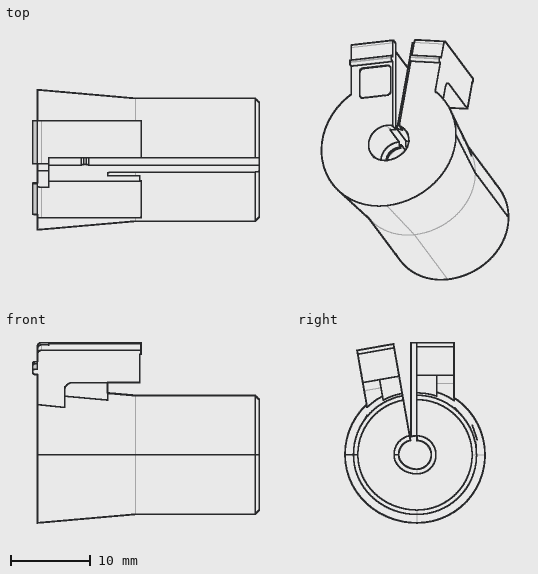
import cadquery as cq

body_length = 27.8
front_radius = 8.535
rear_radius = 7.46
flare_length = 12.25
rear_chamfer = 0.55

bore_radius = 2.38
ridge_radius = 1.78
ridge_start = 5.5
ridge_crest_length = 0.37
ridge_flank_length = 0.28

opening_angle = 10.0
opening_shift = 0.49
opening_lift = 0.05

arm_top = 14.055
arm_thickness = 4.65
arm_length = 13.0
arm_lip_height = 0.5
arm_lip_overhang = 0.18
arm_underside = 9.95
arm_root_length = 3.4
arm_root_bottom = 5.0
arm_edge_radius = 0.5
underside_radius = 1.0
web_length = 8.8
web_thickness = 2.5

step_length = 1.45
step_depth = 0.75

rib_projection = 0.6
rib_bottom = 10.98
rib_top = 11.66
rib_edge_radius = 0.3

recess_size = 4.05
recess_center_y = 1.53
recess_center_z = 8.53
recess_corner_radius = 0.45
recess_depth = 0.2

reach = 40.0

body_stations = [
    (0.0, front_radius),
    (flare_length, rear_radius),
    (body_length - rear_chamfer, rear_radius),
    (body_length, rear_radius - rear_chamfer),
]
crest_start = ridge_start + ridge_flank_length
crest_end = crest_start + ridge_crest_length
bore_stations = [
    (0.0, bore_radius),
    (ridge_start, bore_radius),
    (crest_start, ridge_radius),
    (crest_end, ridge_radius),
    (crest_end + ridge_flank_length, bore_radius),
    (body_length, bore_radius),
]


def block(x_range, y_range, z_range):
    """Box spanning the given ranges."""
    sizes = [high - low for low, high in (x_range, y_range, z_range)]
    corner = (x_range[0], y_range[0], z_range[0])
    return cq.Workplane("XY").box(*sizes, centered=False).translate(corner)


def stretched_round(stations, stretch):
    """Solid through (x, radius) stations, each section widened along Y by the stretch."""
    solid = None
    for (x_start, r_start), (x_end, r_end) in zip(stations, stations[1:]):
        segment = (
            cq.Workplane("YZ", origin=(x_start, 0, 0))
            .ellipse(r_start + stretch, r_start)
            .workplane(offset=x_end - x_start)
            .ellipse(r_end + stretch, r_end)
            .loft(ruled=True)
        )
        solid = segment if solid is None else solid.union(segment)
    return solid


def ring(stretch):
    """Full body with its bore."""
    return stretched_round(body_stations, stretch).cut(stretched_round(bore_stations, stretch))


def arm_plate(y_start, y_end):
    """Hooked side outline of an arm, extruded between two Y positions."""
    body_end = arm_length - arm_lip_overhang
    outline = (
        cq.Workplane("XZ", origin=(0, y_start, 0))
        .moveTo(0, arm_root_bottom)
        .lineTo(0, arm_top - arm_edge_radius)
        .radiusArc((arm_edge_radius, arm_top), arm_edge_radius)
        .lineTo(arm_length, arm_top)
        .lineTo(arm_length, arm_top - arm_lip_height)
        .lineTo(body_end, arm_top - arm_lip_height)
        .lineTo(body_end, arm_underside)
        .lineTo(arm_root_length + underside_radius, arm_underside)
        .radiusArc((arm_root_length, arm_underside - underside_radius), -underside_radius)
        .lineTo(arm_root_length, arm_root_bottom)
        .close()
    )
    return outline.extrude(y_start - y_end)


def rib(y_start, y_end):
    """Rounded rib on the front face of an arm."""
    bar = block((-rib_projection, arm_edge_radius), (y_start, y_end), (rib_bottom, rib_top))
    return bar.edges("|Y and <X").fillet(rib_edge_radius)


def arm(front_inner_face):
    """Arm on the +Y side of the split, with its web and a rib from the front inner face."""
    web = block((0, web_length), (0, web_thickness), (arm_root_bottom, arm_underside))
    return arm_plate(0, arm_thickness).union(web).union(rib(front_inner_face, arm_thickness))


def front_recess():
    """Square pocket with rounded corners, cut inward from the front face."""
    square = cq.Workplane("YZ").rect(recess_size, recess_size).extrude(recess_depth)
    rounded = square.edges("|X").fillet(recess_corner_radius)
    return rounded.translate((0, recess_center_y, recess_center_z))


def fixed_half():
    """Unbent +Y half, whose front step laps over the split."""
    half_body = ring(0).intersect(block((0, reach), (0, reach), (-reach, reach)))
    lap_zone = block((0, step_length), (-step_depth, 0), (0, reach))
    lap_root = block((0, step_length), (-step_depth, 0), (0, arm_root_bottom))
    lap = arm_plate(-step_depth, 0).intersect(lap_zone).union(lap_root)
    lap = lap.cut(stretched_round(bore_stations, 0))
    return half_body.union(arm(-step_depth)).union(lap).cut(front_recess())


def bent_quarter():
    """Upper -Y quarter with its arm, turned open about the shifted axis."""
    half_body = ring(0).intersect(block((0, reach), (0, reach), (-reach, reach)))
    step = block((0, step_length), (0, step_depth), (0, arm_top))
    quarter = half_body.union(arm(step_depth)).cut(step)
    quarter = quarter.mirror("XZ").rotate((0, 0, 0), (1, 0, 0), opening_angle)
    quarter = quarter.translate((0, -opening_shift, opening_lift))
    return quarter.intersect(block((-reach, reach), (-reach, reach), (0, reach)))


def hinge_quarter():
    """Lower -Y quarter, stretched to join the fixed half to the bent quarter."""
    return ring(opening_shift).intersect(block((0, reach), (-reach, 0), (-reach, 0)))


result = fixed_half().union(hinge_quarter()).union(bent_quarter())